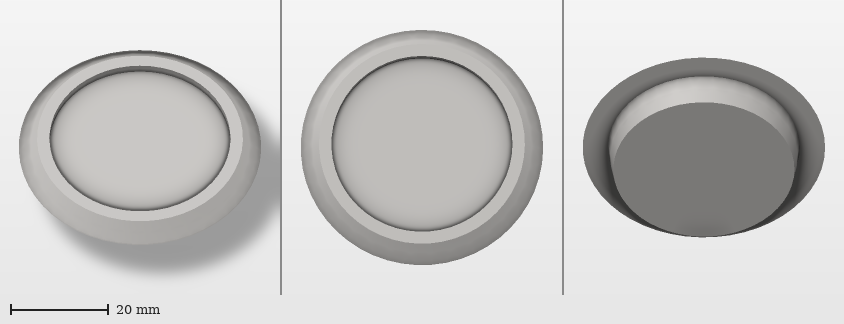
import cadquery as cq

flange_diameter = 49.5
top_face_diameter = 42.05
flange_height = 3.1
rim_height = 0.15
rim_inset = 0.15

overall_height = 9.8
plug_top_diameter = 39.2
plug_bottom_diameter = 37.0

recess_diameter = 37.0
recess_depth = 2.0

plug_height = overall_height - flange_height
recess_floor = overall_height - recess_depth

half_section = (
    cq.Workplane("XZ")
    .moveTo(0, 0)
    .lineTo(plug_bottom_diameter / 2, 0)
    .lineTo(plug_top_diameter / 2, plug_height)
    .lineTo(flange_diameter / 2, plug_height)
    .lineTo(flange_diameter / 2 - rim_inset, plug_height + rim_height)
    .lineTo(top_face_diameter / 2, overall_height)
    .lineTo(recess_diameter / 2, overall_height)
    .lineTo(recess_diameter / 2, recess_floor)
    .lineTo(0, recess_floor)
    .close()
)

result = half_section.revolve(360, (0, 0, 0), (0, 1, 0))